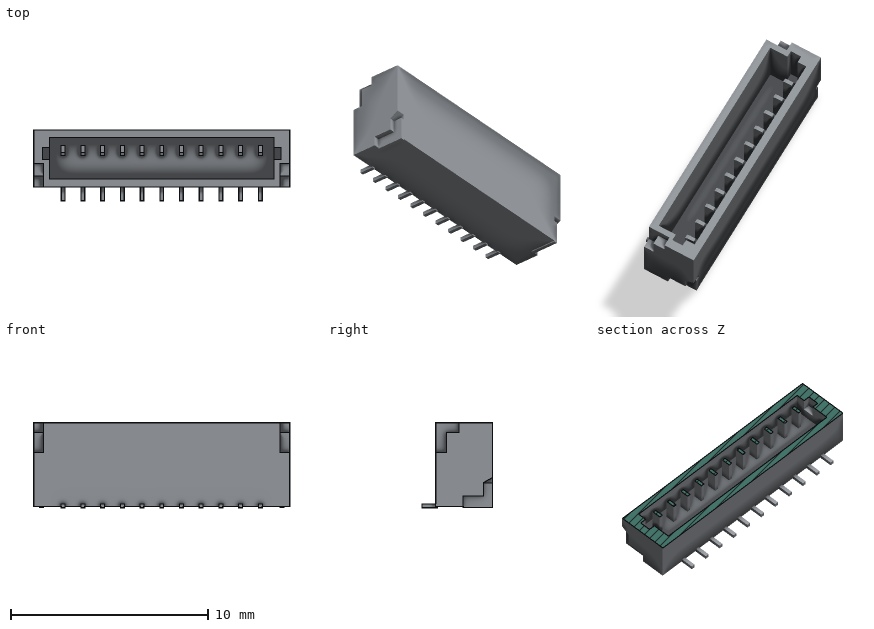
import cadquery as cq

body_length = 13.0
body_depth = 2.9
body_height = 4.25
overall_height = 4.32
body_bottom = overall_height - body_height
half_length = body_length / 2

end_wall = 0.8
long_wall = 0.4
floor_z = 1.0
cavity_length = body_length - 2 * end_wall
cavity_width = body_depth - 2 * long_wall

slot_depth = 0.35
slot_width = 0.6
slot_back_offset = 0.9
slot_bottom_z = 1.5

end_notch_depth = 0.5
upper_notch_width = 1.2
upper_notch_height = 0.5
lower_notch_width = 0.55
lower_notch_height = 1.5

tab_thickness = 0.2
tab_bottom = 0.02
tab_foot_top = 0.6
tab_foot_width = 1.5
tab_stem_top = 1.27
tab_stem_width = 0.48
tab_ramp_rise = 0.28

pin_count = 11
pin_pitch = 1.0
pin_width = 0.2
foot_thickness = 0.2
foot_projection = 0.7
foot_embedded = 0.1
blade_depth = 0.5
blade_back_offset = 0.8
blade_top = 3.06
blade_embedded = 0.2
blade_chamfer_depth = 0.15
blade_chamfer_height = 0.07


def extrude_along_x(points, x_start, width):
    """Extrude a closed (Y, Z) outline in +X from x_start."""
    return cq.Workplane("YZ", origin=(x_start, 0, 0)).polyline(points).close().extrude(width)


def both_ends(left_feature):
    """Return a left-end feature together with its mirror image at the right end."""
    return left_feature.union(left_feature.mirror("YZ"))


def housing_block():
    return cq.Workplane("XY").box(
        body_length, body_depth, body_height, centered=(True, False, False)
    ).translate((0, 0, body_bottom))


def mating_cavity():
    return cq.Workplane("XY").box(
        cavity_length, cavity_width, overall_height - floor_z, centered=(True, False, False)
    ).translate((0, long_wall, floor_z))


def guide_slot():
    slot_y = body_depth - slot_back_offset - slot_width
    return cq.Workplane("XY").box(
        slot_depth, slot_width, overall_height - slot_bottom_z, centered=False
    ).translate((end_wall - slot_depth - half_length, slot_y, slot_bottom_z))


def front_corner_notch():
    upper_z = overall_height - upper_notch_height
    lower_z = overall_height - lower_notch_height
    outline = [
        (0, lower_z),
        (lower_notch_width, lower_z),
        (lower_notch_width, upper_z),
        (upper_notch_width, upper_z),
        (upper_notch_width, overall_height),
        (0, overall_height),
    ]
    return extrude_along_x(outline, -half_length, end_notch_depth)


def tab_outline(bottom_z, back_edge_top):
    """L-shaped outline whose stem top may slope up towards the back face."""
    stem_y = body_depth - tab_stem_width
    foot_y = body_depth - tab_foot_width
    return [
        (body_depth, bottom_z),
        (body_depth, back_edge_top),
        (stem_y, tab_stem_top),
        (stem_y, tab_foot_top),
        (foot_y, tab_foot_top),
        (foot_y, bottom_z),
    ]


def tab_notch():
    outline = tab_outline(body_bottom, tab_stem_top + tab_ramp_rise)
    return extrude_along_x(outline, -half_length, end_notch_depth)


def solder_tab():
    outline = tab_outline(tab_bottom, tab_stem_top)
    tab_x = end_notch_depth - tab_thickness - half_length
    return extrude_along_x(outline, tab_x, tab_thickness)


def pin_foot(x_start):
    return cq.Workplane("XY").box(
        pin_width, foot_projection + foot_embedded, foot_thickness, centered=False
    ).translate((x_start, -foot_projection, 0))


def pin_blade(x_start):
    back_y = body_depth - blade_back_offset
    front_y = back_y - blade_depth
    root_z = floor_z - blade_embedded
    outline = [
        (back_y, root_z),
        (back_y, blade_top),
        (front_y + blade_chamfer_depth, blade_top),
        (front_y, blade_top - blade_chamfer_height),
        (front_y, root_z),
    ]
    return extrude_along_x(outline, x_start, pin_width)


result = housing_block().cut(mating_cavity())
for end_cut in (guide_slot(), front_corner_notch(), tab_notch()):
    result = result.cut(both_ends(end_cut))
result = result.union(both_ends(solder_tab()))

first_pin_x = -pin_pitch * (pin_count - 1) / 2
for pin_index in range(pin_count):
    pin_x = first_pin_x + pin_index * pin_pitch - pin_width / 2
    result = result.union(pin_foot(pin_x)).union(pin_blade(pin_x))